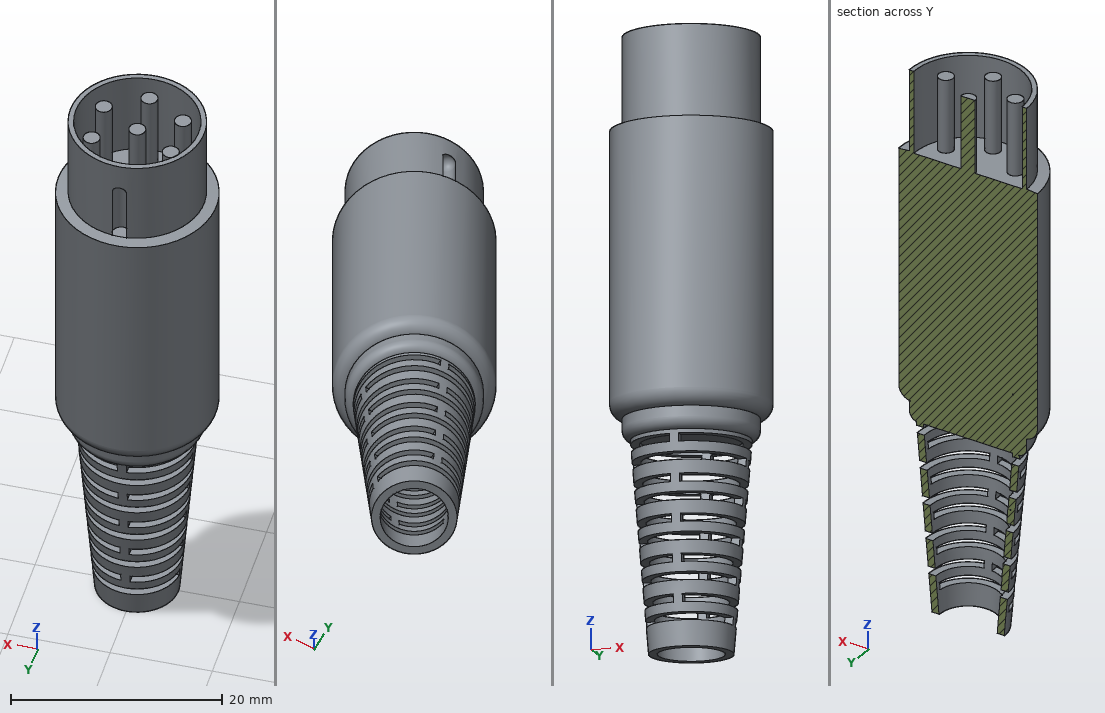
import cadquery as cq
import math


total_height = 59.6
boot_top = 20.6
body_bottom = 22.7
body_top = 50.5
body_top_rise = 0.1

body_radius = 7.75
body_fillet = 1.5
collar_radius = 6.55
collar_fillet = 1.0

boot_bottom_radius = 4.05
boot_top_radius = 5.8
boot_wall = 0.85

slot_rows = 5
slot_pitch = 3.8
slot_height = 0.8
web_width = 0.9
side_web_start = 2.85
front_web_start = 4.6

shroud_radius = 6.55
shroud_wall = 0.55
shroud_inner_radius = shroud_radius - shroud_wall

key_radius = 1.2
key_offset = 5.95
key_dent_radius = 0.9
key_dome_height = 56.2

pin_diameter = 1.6
pin_ring_radius = 4.45
pin_top = 58.6
pin_angles = (-90, -30, 30, 150, 210)


def cylinder(radius, bottom, top):
    return cq.Workplane("XY").workplane(offset=bottom).circle(radius).extrude(top - bottom)


def make_body():
    profile = (
        cq.Workplane("XZ")
        .moveTo(0, body_bottom)
        .lineTo(body_radius, body_bottom)
        .lineTo(body_radius, body_top)
        .lineTo(shroud_radius, body_top + body_top_rise)
        .lineTo(shroud_radius, body_top)
        .lineTo(0, body_top)
        .close()
    )
    body = profile.revolve(360, (0, 0), (0, 1))
    return body.faces("<Z").edges().fillet(body_fillet)


def make_collar():
    collar = cylinder(collar_radius, boot_top, body_bottom)
    return collar.faces("<Z").edges().fillet(collar_fillet)


def make_slot_row(middle_height, web_along_x):
    size = 2 * body_radius
    slab = cq.Workplane("XY").box(size, size, slot_height)
    if web_along_x:
        web = cq.Workplane("XY").box(size, web_width, slot_height)
    else:
        web = cq.Workplane("XY").box(web_width, size, slot_height)
    return slab.cut(web).translate((0, 0, middle_height))


def make_boot():
    boot = (
        cq.Workplane("XZ")
        .moveTo(boot_bottom_radius - boot_wall, 0)
        .lineTo(boot_bottom_radius, 0)
        .lineTo(boot_top_radius, boot_top)
        .lineTo(boot_top_radius - boot_wall, boot_top)
        .close()
        .revolve(360, (0, 0), (0, 1))
    )
    for row in range(slot_rows):
        rise = row * slot_pitch
        boot = boot.cut(make_slot_row(side_web_start + rise, True))
        boot = boot.cut(make_slot_row(front_web_start + rise, False))
    return boot


def make_domed_post(radius):
    dome_top = key_dome_height + radius
    dome_middle = (radius * math.sin(math.pi / 4), key_dome_height + radius * math.cos(math.pi / 4))
    post = (
        cq.Workplane("XZ")
        .moveTo(0, body_top)
        .lineTo(radius, body_top)
        .lineTo(radius, key_dome_height)
        .threePointArc(dome_middle, (0, dome_top))
        .close()
        .revolve(360, (0, 0), (0, 1))
    )
    return post.translate((0, key_offset, 0))


def make_shroud():
    outside = cylinder(shroud_radius, body_top, total_height)
    bore = cylinder(shroud_inner_radius, body_top, total_height)
    bore = bore.cut(make_domed_post(key_radius))
    return outside.cut(bore).cut(make_domed_post(key_dent_radius))


def make_pins():
    pin = cylinder(pin_diameter / 2, body_top, pin_top)
    pins = pin
    for angle in pin_angles:
        x = pin_ring_radius * math.cos(math.radians(angle))
        y = pin_ring_radius * math.sin(math.radians(angle))
        pins = pins.union(pin.translate((x, y, 0)))
    return pins


result = make_body().union(make_collar()).union(make_boot()).union(make_shroud()).union(make_pins())